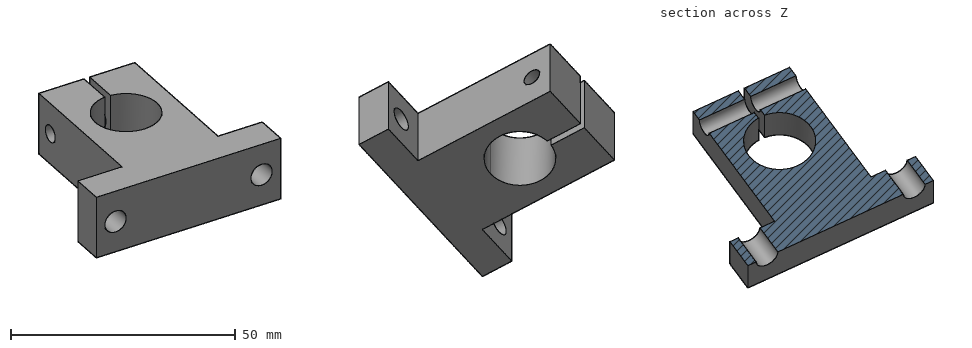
import cadquery as cq

length = 44.0
flange_width = 48.0
thickness = 16.0

flange_depth = 8.0
clamp_width = 25.0

bore_diameter = 16.0
bore_x = 17.0
slit_width = 1.5

clamp_screw_diameter = 4.2
clamp_screw_x = 5.0
mount_hole_diameter = 5.5
mount_hole_spacing = 38.0

flange_x = length - flange_depth


def centered_box(start_x, size_x, size_y):
    """Full-thickness box starting at start_x, centred on Y and Z."""
    box = cq.Workplane("XY").box(size_x, size_y, thickness, centered=(False, True, True))
    return box.translate((start_x, 0, 0))


def through_hole(plane, origin, diameter):
    """Cylinder along the plane normal, long enough to pass through the part."""
    return (
        cq.Workplane(plane, origin=origin)
        .circle(diameter / 2)
        .extrude(flange_width, both=True)
    )


body = centered_box(0, length, clamp_width).union(centered_box(flange_x, flange_depth, flange_width))

body = body.cut(through_hole("XY", (bore_x, 0, 0), bore_diameter))
body = body.cut(centered_box(0, bore_x, slit_width))

body = body.cut(through_hole("XZ", (clamp_screw_x, 0, 0), clamp_screw_diameter))

for side in (-1, 1):
    hole_origin = (length, side * mount_hole_spacing / 2, 0)
    body = body.cut(through_hole("YZ", hole_origin, mount_hole_diameter))

result = body